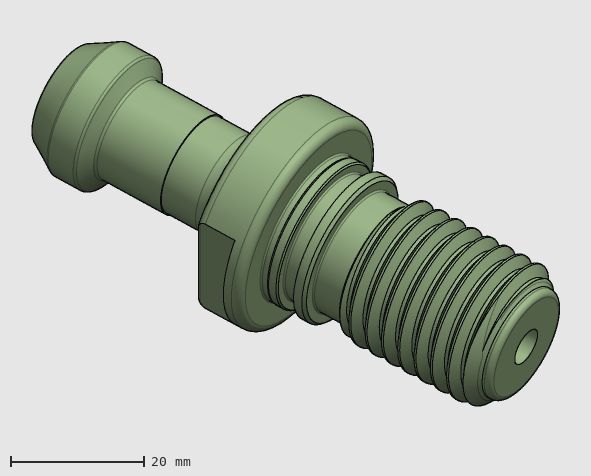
import cadquery as cq
import math

length = 85.0

head_radius = 11.5
head_nose_length = 5.0
head_nose_angle = math.radians(30)
head_edge_round = 0.5
head_land_end = 10.0
head_back_angle = math.radians(30)

shank_radius = 8.5
shank_step_x = 23.7
shank_relief_diameter = 16.6
shank_relief_radius = shank_relief_diameter / 2
shank_flange_blend = 5.0

flange_radius = 18.0
flange_start = 35.0
flange_end = 45.0
flange_round = 1.5
flats_width = 30.0
flats_end = 42.0
flats_edge_round = 0.5

pilot_seat_radius = 12.4
pilot_seat_end = 46.15
pilot_seat_taper_length = 0.25
pilot_radius = 12.5
groove_start = 48.0
groove_end = 51.0
groove_diameter = 21.5
groove_radius = groove_diameter / 2
groove_edge_chamfer = 0.25
pilot_end = 53.0
pilot_chamfer = 0.5
corner_round = 0.25

thread_start = 58.1
thread_radius = 12.0
thread_root_diameter = 20.5
thread_root_radius = thread_root_diameter / 2
thread_full_crests = 8
thread_crest_span = 21.0
thread_pitch = thread_crest_span / (thread_full_crests - 1)
thread_crest_width = 0.37
thread_flank_angle = math.radians(30)
thread_top_crest_x = 60.3
thread_lead_in_radius = 10.6
thread_lead_in_length = 1.1
thread_runout_length = 2.0

tip_start = 83.55
tip_radius = 9.4
tip_round = 1.0

hole_radius = 3.0
hole_chamfer = 1.0


def turned(outline):
    return outline.close().revolve(360, (0, 0, 0), (1, 0, 0))


def make_head_and_shank():
    nose_radius = head_radius - head_nose_length * math.tan(head_nose_angle)
    head_back_x = head_land_end + (head_radius - shank_radius) * math.tan(head_back_angle)
    outline = (
        cq.Workplane("XY")
        .lineTo(0, nose_radius)
        .lineTo(head_nose_length, head_radius)
        .lineTo(head_land_end, head_radius)
        .lineTo(head_back_x, shank_radius)
        .lineTo(shank_step_x, shank_radius)
        .lineTo(shank_step_x, 0)
    )
    return turned(outline).edges("%CIRCLE and (not >X)").fillet(head_edge_round)


def make_shank_relief():
    """Slightly thinner shank that sweeps out into the front face of the flange."""
    outline = (
        cq.Workplane("XY")
        .moveTo(shank_step_x, 0)
        .lineTo(shank_step_x, shank_relief_radius)
        .lineTo(flange_start - shank_flange_blend, shank_relief_radius)
        .radiusArc((flange_start, shank_relief_radius + shank_flange_blend), -shank_flange_blend)
        .lineTo(flange_start, 0)
    )
    return turned(outline)


def make_flange():
    flange = (
        cq.Workplane("YZ", origin=(flange_start, 0, 0))
        .circle(flange_radius)
        .extrude(flange_end - flange_start)
        .edges()
        .fillet(flange_round)
    )
    flats_length = flats_end - flange_start
    across_flats = (
        cq.Workplane("XY")
        .box(flats_length, flats_width, 2 * flange_radius)
        .faces("<X")
        .edges("|Z")
        .fillet(flats_edge_round)
        .translate((flange_start + flats_length / 2, 0, 0))
    )
    full_rim = (
        cq.Workplane("YZ", origin=(flats_end, 0, 0))
        .circle(flange_radius)
        .extrude(flange_end - flats_end)
    )
    return flange.intersect(across_flats.union(full_rim))


def make_pilot_and_core():
    """Pilot collars, neck, thread core and plain tip."""
    root_end = tip_start - thread_runout_length * (
        (thread_root_radius - tip_radius) / (thread_radius - tip_radius)
    )
    outline = (
        cq.Workplane("XY")
        .moveTo(flange_end, 0)
        .lineTo(flange_end, pilot_seat_radius + corner_round)
        .radiusArc((flange_end + corner_round, pilot_seat_radius), -corner_round)
        .lineTo(pilot_seat_end, pilot_seat_radius)
        .lineTo(pilot_seat_end + pilot_seat_taper_length, pilot_radius)
        .lineTo(groove_start - groove_edge_chamfer, pilot_radius)
        .lineTo(groove_start, pilot_radius - groove_edge_chamfer)
        .lineTo(groove_start, groove_radius + corner_round)
        .radiusArc((groove_start + corner_round, groove_radius), -corner_round)
        .lineTo(groove_end - corner_round, groove_radius)
        .radiusArc((groove_end, groove_radius + corner_round), -corner_round)
        .lineTo(groove_end, pilot_radius)
        .lineTo(pilot_end - pilot_chamfer, pilot_radius)
        .lineTo(pilot_end, pilot_radius - pilot_chamfer)
        .lineTo(pilot_end, thread_root_radius + corner_round)
        .radiusArc((pilot_end + corner_round, thread_root_radius), -corner_round)
        .lineTo(root_end, thread_root_radius)
        .lineTo(tip_start, tip_radius)
        .lineTo(length, tip_radius)
        .lineTo(length, 0)
    )
    return turned(outline).faces(">X").edges().fillet(tip_round)


def make_thread():
    """Helical ridge trimmed by a lead-in cone at the neck and a run-out cone at the tip."""
    overlap = 0.25
    ridge_foot_radius = thread_root_radius - overlap
    crest_half = thread_crest_width / 2
    foot_half = crest_half + (thread_radius - ridge_foot_radius) * math.tan(thread_flank_angle)

    extra_turns = 2
    turns = math.ceil((tip_start - thread_start) / thread_pitch) + extra_turns
    helix = cq.Wire.makeHelix(thread_pitch, turns * thread_pitch, ridge_foot_radius)
    ridge = (
        cq.Workplane("XZ")
        .moveTo(ridge_foot_radius, -foot_half)
        .lineTo(thread_radius, -crest_half)
        .lineTo(thread_radius, crest_half)
        .lineTo(ridge_foot_radius, foot_half)
        .close()
        .sweep(cq.Workplane(obj=helix), isFrenet=True)
        .rotate((0, 0, 0), (0, 1, 0), 90)
        .rotate((0, 0, 0), (1, 0, 0), 180)
        .translate((thread_top_crest_x - extra_turns * thread_pitch, 0, 0))
    )

    clearance = 0.85
    clear_radius = thread_radius + clearance
    lead_in_slope = thread_lead_in_length / (thread_radius - thread_lead_in_radius)
    runout_slope = thread_runout_length / (thread_radius - tip_radius)
    envelope = (
        cq.Workplane("XY")
        .moveTo(thread_start, 0)
        .lineTo(thread_start, thread_lead_in_radius)
        .lineTo(thread_start + (clear_radius - thread_lead_in_radius) * lead_in_slope, clear_radius)
        .lineTo(tip_start - (clear_radius - tip_radius) * runout_slope, clear_radius)
        .lineTo(tip_start, tip_radius)
        .lineTo(tip_start, 0)
    )
    return ridge.intersect(turned(envelope))


def make_hole():
    outline = (
        cq.Workplane("XY")
        .lineTo(0, hole_radius + hole_chamfer)
        .lineTo(hole_chamfer, hole_radius)
        .lineTo(length, hole_radius)
        .lineTo(length, 0)
    )
    return turned(outline)


result = (
    make_head_and_shank()
    .union(make_shank_relief())
    .union(make_flange())
    .union(make_pilot_and_core())
    .union(make_thread())
    .cut(make_hole())
)